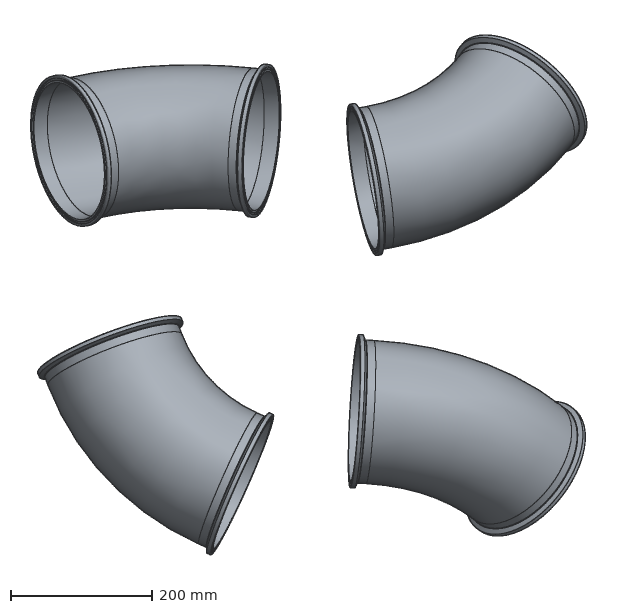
import cadquery as cq
import math

bore_diameter = 197.8
tube_diameter = 203.0
bend_radius = 305.5
bend_angle = 45.0

ferrule_length = 21.8
flange_diameter = 217.5
rim_thickness = 6.0
cone_angle = 25.0
neck_fillet = 1.0
rim_fillet = 0.3

groove_middle_radius = 103.7
groove_mouth_width = 3.5
groove_floor_width = 2.3
groove_depth = 1.5

selection_margin = 0.03

bore_radius = bore_diameter / 2
tube_radius = tube_diameter / 2
flange_radius = flange_diameter / 2
flange_height = rim_thickness + (flange_radius - tube_radius) * math.tan(math.radians(cone_angle))


def make_elbow():
    """Bent tube starting on the XZ plane at the origin and curving toward +X."""
    return (
        cq.Workplane("XZ")
        .circle(tube_radius)
        .circle(bore_radius)
        .revolve(bend_angle, (bend_radius, 0, 0), (bend_radius, -1, 0))
    )


def circle_edge(radius, y):
    """Selector for the circular edge of this radius around the Y axis, at height y."""
    outer_reach = radius + selection_margin
    inner_reach = radius - selection_margin
    low_y = y - selection_margin
    high_y = y + selection_margin
    within_outer = cq.selectors.BoxSelector(
        (-outer_reach, low_y, -outer_reach), (outer_reach, high_y, outer_reach), boundingbox=True
    )
    within_inner = cq.selectors.BoxSelector(
        (-inner_reach, low_y, -inner_reach), (inner_reach, high_y, inner_reach), boundingbox=True
    )
    return within_outer - within_inner


def make_ferrule():
    """Ferrule along Y, with its weld end at the origin and its flange face toward -Y."""
    face_y = -ferrule_length
    blank = (
        cq.Workplane("XY")
        .moveTo(bore_radius, face_y)
        .lineTo(flange_radius, face_y)
        .lineTo(flange_radius, face_y + rim_thickness)
        .lineTo(tube_radius, face_y + flange_height)
        .lineTo(tube_radius, 0)
        .lineTo(bore_radius, 0)
        .close()
        .revolve(360, (0, 0, 0), (0, 1, 0))
    )

    blank = blank.edges(circle_edge(tube_radius, face_y + flange_height)).fillet(neck_fillet)
    for rim_y in (face_y, face_y + rim_thickness):
        blank = blank.edges(circle_edge(flange_radius, rim_y)).fillet(rim_fillet)

    groove = (
        cq.Workplane("XY")
        .moveTo(groove_middle_radius - groove_mouth_width / 2, face_y)
        .lineTo(groove_middle_radius + groove_mouth_width / 2, face_y)
        .lineTo(groove_middle_radius + groove_floor_width / 2, face_y + groove_depth)
        .lineTo(groove_middle_radius - groove_floor_width / 2, face_y + groove_depth)
        .close()
        .revolve(360, (0, 0, 0), (0, 1, 0))
    )
    return blank.cut(groove)


def place_at_far_end(ferrule):
    """Turn a ferrule end for end and swing it around the bend axis to the far end of the elbow."""
    bend_axis_start = (bend_radius, 0, 0)
    bend_axis_end = (bend_radius, 0, 1)
    return ferrule.mirror("XZ").rotate(bend_axis_start, bend_axis_end, -bend_angle)


elbow = make_elbow()
ferrules = [make_ferrule(), place_at_far_end(make_ferrule())]

result = cq.Compound.makeCompound([elbow.val(), *[ferrule.val() for ferrule in ferrules]])